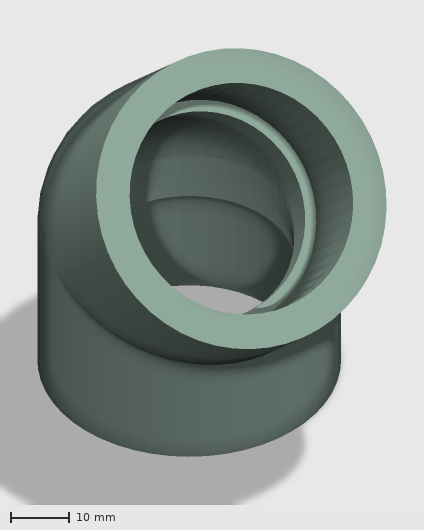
import cadquery as cq

bend_angle = 45.0
outer_diameter = 52.0
socket_diameter = 40.0
bore_diameter = 36.0
leg_length = 30.5
socket_depth = 21.5

knuckle_centre = (0, 0, leg_length)


def leg_cylinder(diameter, start, end):
    """Upright cylinder on the leg axis, between two distances from the knuckle centre."""
    return cq.Workplane("XY").workplane(offset=start).circle(diameter / 2).extrude(end - start)


def both_legs(upper_leg):
    """Leg tilted by the bend angle towards +X, joined with its copy pointing straight down."""
    tilted = upper_leg.rotate((0, 0, 0), (0, 1, 0), bend_angle)
    downward = upper_leg.rotate((0, 0, 0), (0, 1, 0), 180)
    return tilted.union(downward)


def knuckle(diameter):
    """Ball that rounds the outside of the bend."""
    return cq.Workplane("XY").sphere(diameter / 2)


body = both_legs(leg_cylinder(outer_diameter, 0, leg_length)).union(knuckle(outer_diameter))
bore = both_legs(leg_cylinder(bore_diameter, 0, leg_length)).union(knuckle(bore_diameter))
sockets = both_legs(leg_cylinder(socket_diameter, leg_length - socket_depth, leg_length))

result = body.cut(bore).cut(sockets).translate(knuckle_centre)